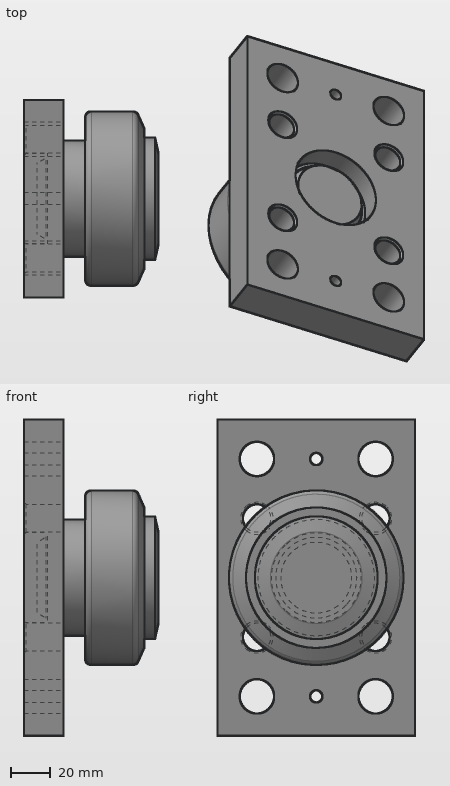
import cadquery as cq
import math

plate_thickness = 20.0
plate_width = 100.0
plate_height = 160.0

hole_spacing_y = 60.0
mount_hole_spacing_z = 120.0
screw_hole_spacing_z = 60.0
mount_hole_diameter = 17.3
screw_hole_diameter = 16.3
screw_hole_chamfer = 1.1
pin_hole_diameter = 6.0

recess_radius = 22.7
recess_depth = 12.0
pin_end_radius = 20.5
pin_tip_radius = 18.0
pin_chamfer_length = 4.5
pin_end_height = 5.5

roller_start = 30.9
roller_end = 60.8
cap_shoulder = 66.2
cap_end = 68.0
hub_radius = 29.5
roller_radius = 44.2
roller_back_fillet = 3.2
roller_front_fillet = 3.2
roller_front_radius = 35.5
roller_crown_end = 54.9
roller_taper_angle = math.radians(66)
cap_radius = 31.0
cap_end_radius = 23.2


def through_holes(points, diameter):
    """Cylinders along X through the plate at the given (Y, Z) points."""
    return cq.Workplane("YZ").pushPoints(points).circle(diameter / 2).extrude(plate_thickness)


def corner_points(spacing_z):
    """Four (Y, Z) points mirrored about both plate axes."""
    half_y = hole_spacing_y / 2
    half_z = spacing_z / 2
    return [(y, z) for y in (-half_y, half_y) for z in (-half_z, half_z)]


def screw_hole_chamfers():
    """Cones that break the back edge of each screw hole."""
    cones = cq.Workplane("YZ").pushPoints(corner_points(screw_hole_spacing_z))
    cones = cones.circle(screw_hole_diameter / 2)
    return cones.extrude(screw_hole_chamfer, taper=45)


def make_plate():
    plate = cq.Workplane("YZ").rect(plate_width, plate_height).extrude(plate_thickness)
    mount_holes = through_holes(corner_points(mount_hole_spacing_z), mount_hole_diameter)
    pin_points = [(0, -mount_hole_spacing_z / 2), (0, mount_hole_spacing_z / 2)]
    pin_holes = through_holes(pin_points, pin_hole_diameter)
    screw_bore = screw_hole_diameter - 2 * screw_hole_chamfer
    screw_holes = through_holes(corner_points(screw_hole_spacing_z), screw_bore)
    recess = cq.Workplane("YZ").circle(recess_radius).extrude(recess_depth)
    for cutter in (mount_holes, pin_holes, screw_holes, screw_hole_chamfers(), recess):
        plate = plate.cut(cutter)
    return plate


def make_pin_end():
    """Chamfered pin end, standing on the recess floor and joined to the hub."""
    tip = recess_depth - pin_end_height
    profile = (
        cq.Workplane("XY")
        .moveTo(tip, 0)
        .lineTo(tip, pin_tip_radius)
        .lineTo(tip + pin_chamfer_length, pin_end_radius)
        .lineTo(plate_thickness, pin_end_radius)
        .lineTo(plate_thickness, 0)
        .close()
    )
    return profile.revolve(360, (0, 0, 0), (1, 0, 0))


def make_roller():
    """Hub, crowned roller and end cap as one solid of revolution about X."""
    half_angle = roller_taper_angle / 2
    front_mid = (
        roller_crown_end + roller_front_fillet * math.sin(half_angle),
        roller_radius - roller_front_fillet * (1 - math.cos(half_angle)),
    )
    front_end = (
        roller_crown_end + roller_front_fillet * math.sin(roller_taper_angle),
        roller_radius - roller_front_fillet * (1 - math.cos(roller_taper_angle)),
    )
    back_mid_offset = roller_back_fillet * (1 - math.sqrt(0.5))
    back_mid = (roller_start + back_mid_offset, roller_radius - back_mid_offset)
    profile = (
        cq.Workplane("XY")
        .moveTo(plate_thickness, 0)
        .lineTo(plate_thickness, hub_radius)
        .lineTo(roller_start, hub_radius)
        .lineTo(roller_start, roller_radius - roller_back_fillet)
        .threePointArc(back_mid, (roller_start + roller_back_fillet, roller_radius))
        .lineTo(roller_crown_end, roller_radius)
        .threePointArc(front_mid, front_end)
        .lineTo(roller_end, roller_front_radius)
        .lineTo(roller_end, cap_radius)
        .lineTo(cap_shoulder, cap_radius)
        .lineTo(cap_end, cap_end_radius)
        .lineTo(cap_end, 0)
        .close()
    )
    return profile.revolve(360, (0, 0, 0), (1, 0, 0))


result = make_plate().union(make_pin_end()).union(make_roller())